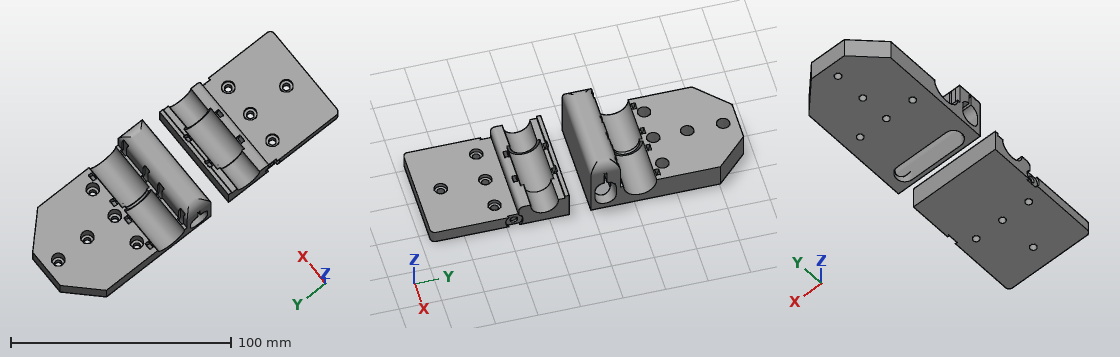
import cadquery as cq
import math

width = 50.0
overall_length = 151.0
saddle_height = 12.0
clearance = 1.5

screw_diameter = 3.5
screw_head_diameter = 6.0
screw_spacing_x = 16.0
screw_floor = 4.4

seat_width = 15.5
seat_depth = 7.7
seat_corner_radius = 7.5
rod_half_width = 6.3
rod_depth = 6.8
rod_corner_radius = rod_half_width
seat_length = 24.5
shoulder_thickness = 0.9
rod_flare = 0.2
rib_thickness = 1.4

tie_inner_radius = 8.5
tie_outer_radius = 10.3
tie_width = 3.5
tie_spacing = 15.4

bracket_length = 76.0
bracket_back = overall_length / 2
bracket_front = bracket_back - bracket_length
corner_chamfer = 15.0
bracket_groove_y = 22.8
bracket_row_y = 35.6
bracket_middle_screw_y = 51.6
bracket_back_screw_y = 68.5

tower_height = 28.0
tower_length = 14.0
tower_fillet = 5.0
tower_center_y = bracket_front + tower_length / 2
belt_width = 10.0
belt_bottom = 2.9
belt_top = 16.9
belt_corner_radius = 4.7
slit_width = 1.2
floor_opening_length = 39.5

clamp_front = -overall_length / 2
block_back = -10.5
block_length = 23.7
block_front = block_back - block_length
block_fillet = 2.4
lip_thickness = 2.0
lip_height = 1.4
plate_thickness = 6.3
plate_corner_radius = 2.3
clamp_groove_y = -22.2
clamp_row_y = -43.3
clamp_front_screw_y = -64.3

pivot_y = -36.4
pivot_z = plate_thickness / 2
pivot_recess_diameter = 8.2
pivot_recess_depth = 1.0
pivot_hole_diameter = 3.5
pivot_hole_depth = 1.0


def block(x_size, y_front, y_back, z_bottom, z_top):
    """Box centred on X = 0 between the given Y and Z limits."""
    return (
        cq.Workplane("XY")
        .box(x_size, y_back - y_front, z_top - z_bottom, centered=(True, False, False))
        .translate((0, y_front, z_bottom))
    )


def groove_profile(half_width, depth, corner_radius):
    """Outline of an open-topped groove along X; a flat joins its two round corners if they do not meet."""
    bottom = saddle_height - depth
    top = saddle_height + clearance
    half_flat = half_width - corner_radius
    profile = (
        cq.Workplane("YZ")
        .moveTo(-half_width, top)
        .lineTo(-half_width, bottom + corner_radius)
        .radiusArc((-half_flat, bottom), -corner_radius)
    )
    if half_flat > 0:
        profile = profile.lineTo(half_flat, bottom)
    return (
        profile.radiusArc((half_width, bottom + corner_radius), -corner_radius)
        .lineTo(half_width, top)
        .close()
    )


def rod_profile():
    """Outline of the rod groove."""
    return groove_profile(rod_half_width, rod_depth, rod_corner_radius)


def seat_cutter(x_center, groove_y):
    """Wide pocket for one bearing."""
    profile = groove_profile(seat_width / 2, seat_depth, seat_corner_radius)
    return profile.extrude(seat_length / 2, both=True).translate((x_center, groove_y, 0))


def rod_cutter(groove_y):
    """Narrower groove along the whole width."""
    return rod_profile().extrude(width / 2, both=True).translate((0, groove_y, 0))


def flare_cutter(side, groove_y):
    """Rod groove that widens slightly from its seat shoulder to one end face of the clamp."""
    flare_start = seat_length / 2 + shoulder_thickness
    flare_length = width / 2 - flare_start
    angle = math.degrees(math.atan(rod_flare / flare_length))
    flare = rod_profile().extrude(flare_length, taper=-angle).translate((flare_start, groove_y, 0))
    return flare if side > 0 else flare.mirror("YZ")


def u_solid(radius, height):
    """Half disc below the saddle face with straight sides that rise above it."""
    return (
        cq.Workplane("YZ", origin=(0, 0, saddle_height))
        .moveTo(-radius, height)
        .lineTo(-radius, 0)
        .threePointArc((0, -radius), (radius, 0))
        .lineTo(radius, height)
        .close()
        .extrude(tie_width / 2, both=True)
    )


def cut_tie_channels(body, seat_x, groove_y):
    """U-shaped cable-tie channels around one bearing seat."""
    rise = tower_height - saddle_height + clearance
    channel = u_solid(tie_outer_radius, rise).cut(u_solid(tie_inner_radius, rise))
    for side in (-1, 1):
        body = body.cut(channel.translate((seat_x + side * tie_spacing / 2, groove_y, 0)))
    return body


def cut_screw_holes(body, points, top):
    """Through holes for screws, with head recesses sunk from height `top`."""
    holes = cq.Workplane("XY").pushPoints(points).circle(screw_diameter / 2).extrude(top)
    heads = (
        cq.Workplane("XY", origin=(0, 0, screw_floor))
        .pushPoints(points)
        .circle(screw_head_diameter / 2)
        .extrude(top - screw_floor)
    )
    return body.cut(holes).cut(heads)


def screw_row(y):
    """Three screw positions across the width."""
    return [(i * screw_spacing_x, y) for i in (-1, 0, 1)]


def cut_belt_passage(body):
    """Rounded passage along X with a slit above it and a round-ended slot through the floor below."""
    passage = (
        block(
            width,
            tower_center_y - belt_width / 2,
            tower_center_y + belt_width / 2,
            belt_bottom,
            belt_top,
        )
        .edges("|X")
        .fillet(belt_corner_radius)
    )
    slit = block(
        width,
        tower_center_y - slit_width / 2,
        tower_center_y + slit_width / 2,
        belt_top - clearance,
        tower_height - tower_fillet,
    )
    floor_opening = (
        cq.Workplane("XY")
        .center(0, tower_center_y)
        .slot2D(floor_opening_length, belt_width)
        .extrude(belt_bottom + belt_corner_radius)
    )
    return body.cut(passage).cut(slit).cut(floor_opening)


def make_bracket():
    base = (
        block(width, bracket_front, bracket_back, 0, saddle_height)
        .edges("|Z and >Y")
        .chamfer(corner_chamfer)
    )
    tower = (
        block(width, bracket_front, bracket_front + tower_length, 0, tower_height)
        .faces(">Z")
        .edges()
        .fillet(tower_fillet)
    )
    body = base.union(tower)
    body = body.cut(rod_cutter(bracket_groove_y))
    for side in (-1, 1):
        seat_x = side * (rib_thickness + seat_length) / 2
        body = body.cut(seat_cutter(seat_x, bracket_groove_y))
        body = cut_tie_channels(body, seat_x, bracket_groove_y)
    body = cut_belt_passage(body)
    screws = screw_row(bracket_row_y) + [(0, bracket_middle_screw_y), (0, bracket_back_screw_y)]
    return cut_screw_holes(body, screws, saddle_height)


def cut_pivots(body):
    """Round recess with a blind hole at each end of the hinge line."""
    for side in (-1, 1):
        recess_floor = side * (width / 2 - pivot_recess_depth)
        axis = cq.Workplane("YZ", origin=(recess_floor, pivot_y, pivot_z))
        recess = axis.circle(pivot_recess_diameter / 2).extrude(side * pivot_recess_depth)
        hole = axis.circle(pivot_hole_diameter / 2).extrude(-side * pivot_hole_depth)
        body = body.cut(recess).cut(hole)
    return body


def make_clamp():
    saddle = (
        block(width, block_front, block_back, 0, saddle_height)
        .edges(">Z and <Y")
        .fillet(block_fillet)
    )
    lip = block(width, block_back - lip_thickness, block_back, 0, saddle_height + lip_height)
    plate = (
        block(width, clamp_front, block_back, 0, plate_thickness)
        .edges("|Z and <Y")
        .fillet(plate_corner_radius)
    )
    body = saddle.union(lip).union(plate)
    body = body.cut(rod_cutter(clamp_groove_y)).cut(seat_cutter(0, clamp_groove_y))
    for side in (-1, 1):
        body = body.cut(flare_cutter(side, clamp_groove_y))
    body = cut_tie_channels(body, 0, clamp_groove_y)
    body = cut_pivots(body)
    return cut_screw_holes(body, screw_row(clamp_row_y) + [(0, clamp_front_screw_y)], plate_thickness)


bracket = make_bracket()
clamp = make_clamp()
result = cq.Compound.makeCompound([bracket.val(), clamp.val()])